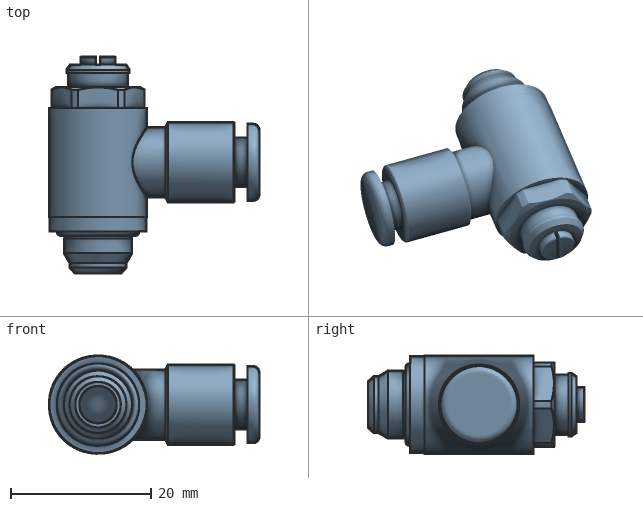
import cadquery as cq
import math


barrel_diameter = 14.0
barrel_radius = barrel_diameter / 2
barrel_front = -7.8
barrel_back = 7.75
collar_radius = 6.92
collar_front = -9.83

ring_center_radius = 5.22
ring_section_radius = 0.65
neck_radius = ring_center_radius - ring_section_radius
nose_radius = 4.85
nose_back = -10.45
nose_lead = 0.37
taper_start = -12.95
tip_radius = 4.05
tip_start = -14.3
tip_chamfer_start = -15.0
tip_face_radius = 3.25
nose_end = -15.85
bore_radius = 2.65
bore_depth = 6.8

hex_across_flats = 12.02
hex_corner_diameter = hex_across_flats / math.cos(math.pi / 6)
hex_corner_radius = 6.65
hex_face_radius = 5.87
hex_chamfer = 0.43
hex_back = 10.75

knob_radius = 4.3
lip_radius = 4.5
lip_front = 12.73
lip_width = 0.4
knob_face_radius = 4.0
knob_back = 13.9
screw_radius = 2.5
screw_chamfer = 0.12
slot_width = 0.6
overall_length = 30.9
screw_back = nose_end + overall_length

branch_neck_radius = 5.0
sleeve_radius = 5.72
sleeve_start = 9.6
sleeve_end = 19.47
sleeve_inner_chamfer = 0.37
sleeve_outer_chamfer = 0.2
stem_radius = 3.55
button_radius = 5.5
button_start = 21.3
button_fillet = 1.02
overall_width = 30.0
button_end = overall_width - barrel_radius


def turned_y(profile):
    """Revolve (radius, Y) points about the Y axis."""
    points = [(0, profile[0][1])] + profile + [(0, profile[-1][1])]
    return cq.Workplane("XY").polyline(points).close().revolve(360, (0, 0), (0, 1))


def turned_x(profile):
    """Revolve (X, radius) points about the X axis."""
    points = [(profile[0][0], 0)] + profile + [(profile[-1][0], 0)]
    return cq.Workplane("XY").polyline(points).close().revolve(360, (0, 0), (1, 0))


def cylinder_x(radius, start, end):
    return cq.Workplane("YZ", origin=(start, 0, 0)).circle(radius).extrude(end - start)


def make_barrel():
    return turned_y([
        (collar_radius, collar_front),
        (collar_radius, barrel_front),
        (barrel_radius, barrel_front),
        (barrel_radius, barrel_back),
    ])


def make_nose():
    nose = turned_y([
        (tip_face_radius, nose_end),
        (tip_radius, tip_chamfer_start),
        (tip_radius, tip_start),
        (nose_radius, taper_start),
        (nose_radius, nose_back - nose_lead),
        (neck_radius, nose_back),
        (neck_radius, collar_front),
    ])
    ring = (
        cq.Workplane("XY")
        .center(ring_center_radius, collar_front)
        .circle(ring_section_radius)
        .revolve(360, (-ring_center_radius, 0), (-ring_center_radius, 1))
    )
    return nose.union(ring)


def make_hex():
    """Hexagon with flats facing +Z and -Z, its corners turned off and chamfered."""
    prism = (
        cq.Workplane("XZ", origin=(0, barrel_back, 0))
        .polygon(6, hex_corner_diameter)
        .extrude(barrel_back - hex_back)
    )
    envelope = turned_y([
        (hex_corner_radius, barrel_back),
        (hex_corner_radius, hex_back - hex_chamfer),
        (hex_face_radius, hex_back),
    ])
    return prism.intersect(envelope)


def make_knob():
    knob = turned_y([
        (knob_radius, hex_back),
        (knob_radius, lip_front),
        (lip_radius, lip_front),
        (lip_radius, lip_front + lip_width),
        (knob_face_radius, knob_back),
    ])
    screw = turned_y([
        (screw_radius, knob_back),
        (screw_radius, screw_back - screw_chamfer),
        (screw_radius - screw_chamfer, screw_back),
    ])
    slot_depth = screw_back - knob_back
    slot = (
        cq.Workplane("XY")
        .box(slot_width, slot_depth, 2 * lip_radius)
        .translate((0, knob_back + slot_depth / 2, 0))
    )
    return knob.union(screw.cut(slot))


def make_branch():
    neck = cylinder_x(branch_neck_radius, 0, sleeve_start)
    sleeve = turned_x([
        (sleeve_start, branch_neck_radius),
        (sleeve_start + sleeve_inner_chamfer, sleeve_radius),
        (sleeve_end - sleeve_outer_chamfer, sleeve_radius),
        (sleeve_end, sleeve_radius - sleeve_outer_chamfer),
    ])
    stem = cylinder_x(stem_radius, sleeve_end, button_start)
    button = cylinder_x(button_radius, button_start, button_end)
    button = button.faces(">X").edges().fillet(button_fillet)
    return neck.union(sleeve).union(stem).union(button)


bore = turned_y([(bore_radius, nose_end), (bore_radius, nose_end + bore_depth)])

result = (
    make_barrel()
    .union(make_nose())
    .union(make_hex())
    .union(make_knob())
    .union(make_branch())
    .cut(bore)
)